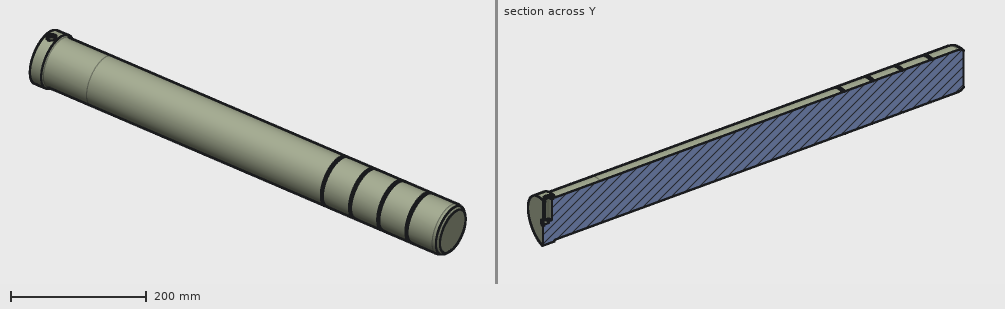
import cadquery as cq

length = 720.0
head_diameter = 86.0
head_length = 20.0
body_diameter = 80.0
neck_fillet = 2.0
seat_end = 99.0

groove_count = 4
first_groove = 515.0
last_groove = 664.5
groove_pitch = (last_groove - first_groove) / (groove_count - 1)
groove_width = 3.5
groove_floor = 1.5
groove_depth = 1.0

lead_length = 6.0
lead_drop = 1.5
end_chamfer = 4.0

end_bore = 6.5
end_mouth = 11.0
end_mouth_depth = 3.0
side_bore = 11.0
side_mouth = 15.0
side_mouth_depth = 4.0

head_radius = head_diameter / 2
body_radius = body_diameter / 2
head_middle = head_length / 2


def add_groove(outline, center):
    """Extend the body outline through one lubrication groove."""
    floor_radius = body_radius - groove_depth
    return (
        outline.lineTo(center - groove_width / 2, body_radius)
        .lineTo(center - groove_floor / 2, floor_radius)
        .lineTo(center + groove_floor / 2, floor_radius)
        .lineTo(center + groove_width / 2, body_radius)
    )


def make_pillar():
    """Revolve the half outline of the pillar about the X axis."""
    lead_end = length - end_chamfer
    lead_radius = body_radius - lead_drop
    neck_end = (head_length + neck_fillet, body_radius)

    outline = (
        cq.Workplane("XZ")
        .lineTo(0, head_radius)
        .lineTo(head_length, head_radius)
        .lineTo(head_length, body_radius + neck_fillet)
        .tangentArcPoint(neck_end, relative=False)
        .lineTo(seat_end, body_radius)
    )
    for i in range(groove_count):
        outline = add_groove(outline, first_groove + i * groove_pitch)
    outline = (
        outline.lineTo(lead_end - lead_length, body_radius)
        .lineTo(lead_end, lead_radius)
        .lineTo(length, lead_radius - end_chamfer)
        .lineTo(length, 0)
        .close()
    )
    return outline.revolve(360, (0, 0, 0), (1, 0, 0), clean=False)


def make_port(entry, bore_diameter, bore_depth, mouth_diameter, mouth_depth):
    """Counterbored hole cut into the part from the entry plane."""
    bore = entry.circle(bore_diameter / 2).extrude(-bore_depth)
    mouth = entry.circle(mouth_diameter / 2).extrude(-mouth_depth)
    return bore.union(mouth)


end_entry = cq.Workplane("YZ").workplane(invert=True)
end_port = make_port(end_entry, end_bore, head_middle, end_mouth, end_mouth_depth)

side_entry = cq.Workplane("XY", origin=(head_middle, 0, head_radius))
side_port = make_port(side_entry, side_bore, head_radius, side_mouth, side_mouth_depth)

result = make_pillar().cut(end_port, clean=False).cut(side_port, clean=False).solids()